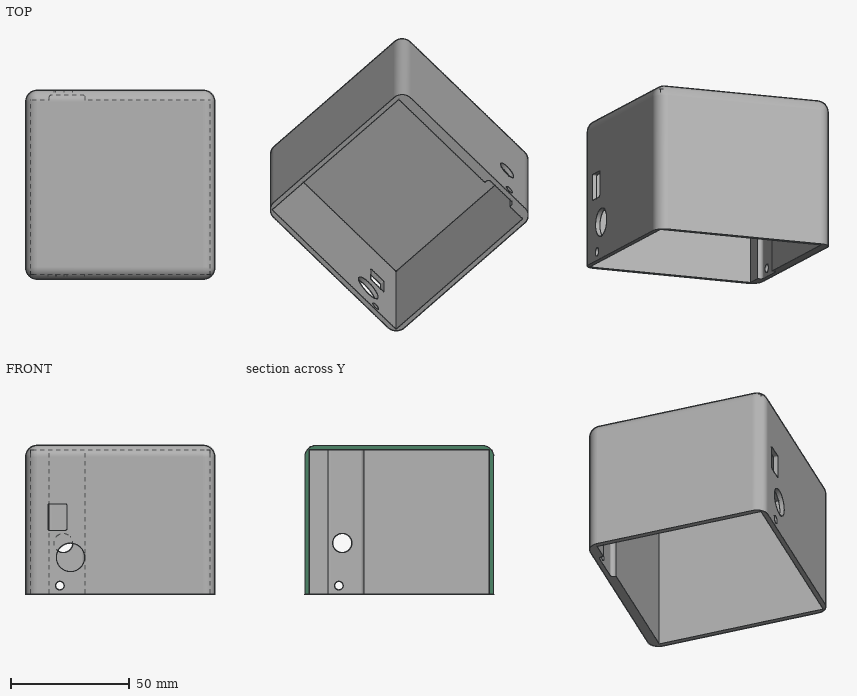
import cadquery as cq

width = 80
height = 63.0
outer_radius = 5.0
wall = 2.0
rear_wall = 4.2

channel_flat_left = 11.2
channel_flat_width = 12.6
channel_radius = 1.4

window_width = 8
window_height = 11.2
window_center = (13.4, 32.6)
window_corner_radius = 0.6
jack_diameter = 12
jack_center = (19.0, 15.6)
pin_diameter = 3.5
pin_center = (14.5, 3.7)
rear_diameter = 8
rear_center = (15.9, 21.7)


def box_body():
    """Rounded box whose lower rim stays sharp."""
    body = cq.Workplane("XY").box(width, width, height, centered=(True, True, False))
    return body.edges("|Z or >Z").fillet(outer_radius)


def cavity():
    """Inner space, open downward, in front of the thicker rear wall."""
    corner = (wall - width / 2, wall - width / 2, 0)
    inner_width = width - 2 * wall
    inner_depth = width - wall - rear_wall
    return cq.Workplane("XY", origin=corner).box(inner_width, inner_depth, height - wall, centered=False)


def rear_channel():
    """Vertical channel in the rear wall, with rounded inner corners."""
    channel_width = channel_flat_width + 2 * channel_radius
    corner = (channel_flat_left - channel_radius - width / 2, width / 2 - rear_wall, 0)
    depth = rear_wall - wall
    channel = cq.Workplane("XY", origin=corner).box(channel_width, depth, height - wall, centered=False)
    return channel.edges("|Z and >Y").fillet(channel_radius)


def side_plane(y):
    """XZ plane at the given Y, with its origin on the left bottom edge."""
    return cq.Workplane("XZ", origin=(-width / 2, y, 0))


def round_hole(center, diameter, start_y, length):
    """Hole running from start_y toward +Y."""
    return side_plane(start_y).center(*center).circle(diameter / 2).extrude(-length)


def window():
    """Rounded rectangular opening in the front wall."""
    block = side_plane(-width / 2).center(*window_center).rect(window_width, window_height)
    return block.extrude(-width / 2).edges("|Y").fillet(window_corner_radius)


result = (
    box_body()
    .cut(cavity())
    .cut(rear_channel())
    .cut(window())
    .cut(round_hole(jack_center, jack_diameter, -width / 2, width / 2))
    .cut(round_hole(pin_center, pin_diameter, -width / 2, width))
    .cut(round_hole(rear_center, rear_diameter, 0, width / 2))
)